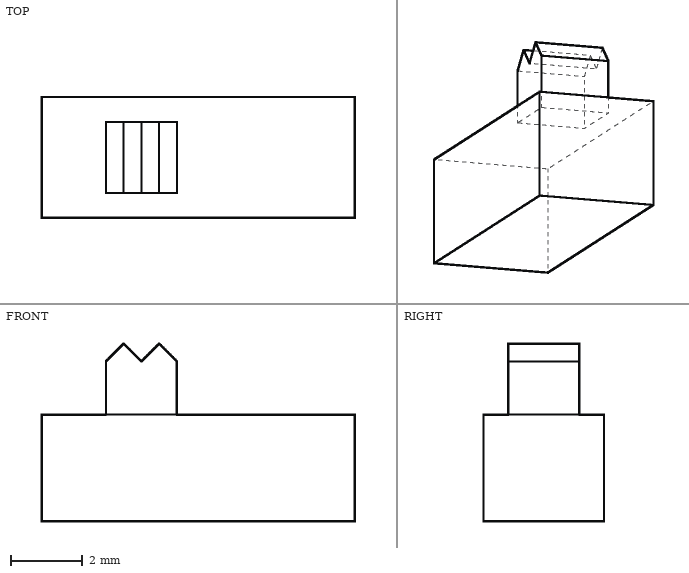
import cadquery as cq

body_length = 8.8
body_width = 3.4
body_height = 3.0

knob_length = 2.0
knob_width = 2.0
knob_height = 2.0
knob_offset = -1.6

ridge_count = 2
ridge_pitch = knob_length / ridge_count
ridge_height = ridge_pitch / 2


def make_body():
    """Rectangular body standing on the XY plane."""
    return cq.Workplane("XY").box(
        body_length, body_width, body_height, centered=(True, True, False)
    )


def make_knob():
    """Knob with V-shaped ridges running along Y, standing on the body."""
    left = knob_offset - knob_length / 2
    right = left + knob_length
    top = body_height + knob_height
    valley = top - ridge_height

    outline = [(right, body_height), (left, body_height), (left, valley)]
    for index in range(ridge_count):
        ridge_start = left + index * ridge_pitch
        outline.append((ridge_start + ridge_pitch / 2, top))
        outline.append((ridge_start + ridge_pitch, valley))

    return (
        cq.Workplane("XZ")
        .polyline(outline)
        .close()
        .extrude(knob_width / 2, both=True)
    )


result = make_body().union(make_knob())